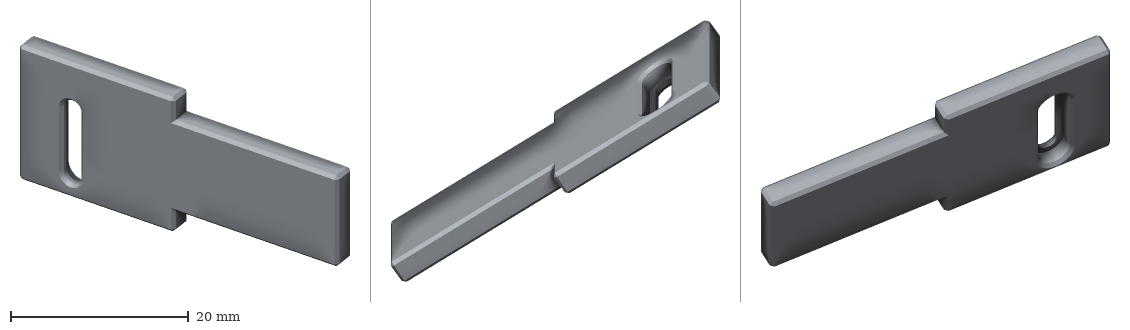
import cadquery as cq

total_length = 43.0
thickness = 3.0
head_length = 21.0
head_height = 17.8
tab_length = total_length - head_length
tab_height = 12.0
edge_chamfer = 0.4
chamfer_angle = 45

slot_width = 2.4
slot_centre_distance = 8.5
slot_from_head_end = 7.1
lower_arc_above_bottom = 3.0
recess_width = 4.0
recess_depth = 2.0

head_end_x = -total_length / 2
shoulder_x = head_end_x + head_length
head_centre_x = head_end_x + head_length / 2
tab_centre_x = shoulder_x + tab_length / 2
slot_x = head_end_x + slot_from_head_end
slot_z = -head_height / 2 + lower_arc_above_bottom + slot_centre_distance / 2
front_y = -thickness / 2
back_y = thickness / 2


def make_plate():
    """Head and tab joined as one flat plate."""
    head = cq.Workplane("XY").box(head_length, thickness, head_height)
    tab = cq.Workplane("XY").box(tab_length, thickness, tab_height)
    head = head.translate((head_centre_x, 0, 0))
    tab = tab.translate((tab_centre_x, 0, 0))
    return head.union(tab).clean()


def chamfer_plate(plate):
    """Chamfer both broad faces all round, and the outer corners of the head and tab."""
    inner_corners = cq.selectors.BoxSelector(
        (shoulder_x - edge_chamfer, front_y, -tab_height / 2 - edge_chamfer),
        (shoulder_x + edge_chamfer, back_y, tab_height / 2 + edge_chamfer),
    )
    broad_face_edges = cq.selectors.StringSyntaxSelector("#Y")
    outer_corners = cq.selectors.StringSyntaxSelector("|Y") - inner_corners
    return plate.edges(broad_face_edges + outer_corners).chamfer(edge_chamfer)


def slot_cutter(width, start_y, depth, taper=0):
    """Round-ended slot solid from start_y toward -Y; a negative taper (degrees) widens it on the way."""
    return (
        cq.Workplane("XZ", origin=(slot_x, start_y, slot_z))
        .slot2D(slot_centre_distance + width, width, angle=90)
        .extrude(depth, taper=taper)
    )


def cut_slot(plate):
    """Cut the slot through the head, widen it from the back and chamfer both rims."""
    through_slot = slot_cutter(slot_width, back_y, thickness)
    recess = slot_cutter(recess_width, back_y, recess_depth)
    front_rim = slot_cutter(slot_width, front_y + edge_chamfer, edge_chamfer, taper=-chamfer_angle)
    back_rim_width = recess_width + 2 * edge_chamfer
    back_rim = slot_cutter(back_rim_width, back_y, edge_chamfer, taper=chamfer_angle)
    return plate.cut(through_slot).cut(recess).cut(front_rim).cut(back_rim)


result = cut_slot(chamfer_plate(make_plate()))